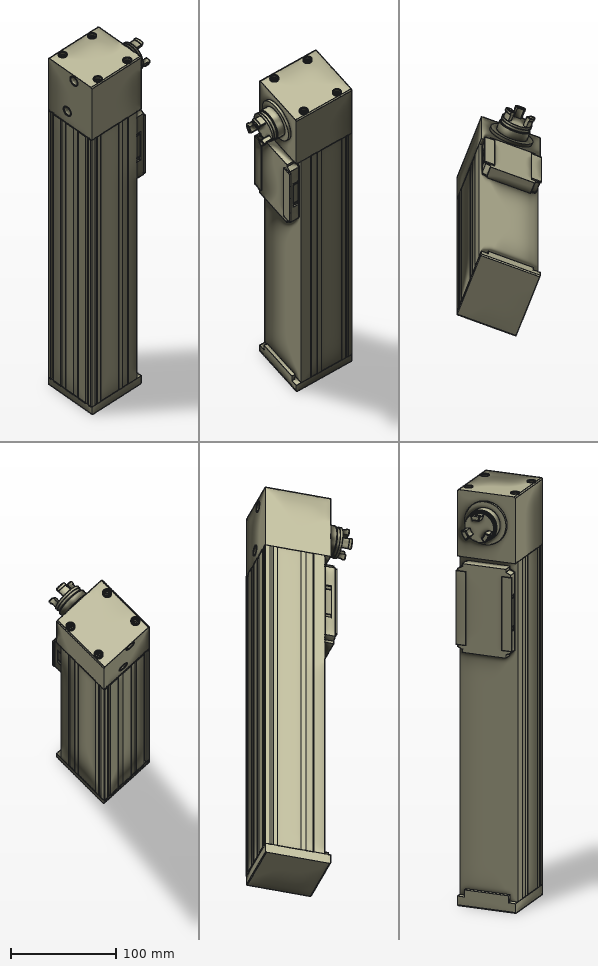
import cadquery as cq
import math

TOTAL_HEIGHT = 416.0
TOTAL_DEPTH = 92.8
PROFILE_SIDE = 60.0
PROFILE_HALF = PROFILE_SIDE / 2

BLOCK_FRONT = 1.0
HEAD_CHAMFER = 1.2
HEAD_BACK = 65.7
HEAD_BOTTOM = 349.5
CAP_TOP = 10.0
CAP_FRONT_CHAMFER = 1.0
CAP_BACK_CHAMFER = 1.2
LIP_HEIGHT = 17.0
LIP_WIDTH = 45.8
LIP_THICKNESS = 3.7
UNDERCUT_RADIUS = 1.2

GROOVE_DEPTH = 0.5
BEVEL_WIDTH = 1.2
FRONT_GROOVE = (5.5, 12.0)
CORNER_STRIP = 4.0
CORNER_GROOVE_END = 8.0
CORNER_GROOVE_DEPTH = 3.5
CORNER_CHAMFER = 1.0
SIDE_FRONT_GROOVE = (5.0, 8.5)
SIDE_BACK_GROOVE = (41.0, 49.0)
SIDE_PANEL = (12.5, 36.0)

PORT_STEPS = [(11.0, 0.5), (8.7, 6.2), (6.2, 7.0), (4.0, 8.0)]
UPPER_PORT = (5.0, 408.5)
LOWER_PORT = (-4.0, 364.5)
SCREW_STEPS = [(8.7, 1.0), (7.0, 3.5), (5.0, 5.0), (2.45, 6.5)]
SCREW_OFFSET_X = 24.0
SCREW_ROWS_Y = (14.0, 53.0)

PLUG_Z = 387.0
FLANGE_DIAMETER = 43.0
FLANGE_BACK = 68.5
BARREL_DIAMETER = 31.0
BARREL_BACK = 76.5
COLLAR_DIAMETER = 30.0
COLLAR_BACK = 77.5
NECK_DIAMETER = 28.3
NECK_BACK = 80.3
RING_BACK = 82.8
PRONG_COUNT = 3
PRONG_INNER_RADIUS = 9.5
PRONG_OUTER_RADIUS = 14.0
PRONG_HALF_ANGLE = 20.0
PRONG_LIP_RADIUS = 15.0
PRONG_LIP_LENGTH = 3.5
PRONG_TIP_CHAMFER = 1.0

BOX_WIDTH = 55.0
BOX_BACK = 71.0
BOX_BOTTOM = 256.0
BOX_TOP = 344.5
BOX_TAB_HEIGHT = 3.0
BOX_CHAMFER_WIDTH = 5.0
BOX_CHAMFER_HEIGHT = 2.5
FOOT_HEIGHT = 1.2
FOOT_INSET = 0.5
COVER_WIDTH = 57.5
COVER_BOTTOM = 263.5
COVER_TOP = 337.0
COVER_BACK = 72.5
COVER_SEAT = 70.7
COVER_GAP = 37.5
LATCH_BOTTOM = 282.0
LATCH_TOP = 318.0
LATCH_BACK = 67.5
LATCH_BAND = 3.7
LATCH_DEPTH = 1.0
LATCH_BAND_DEPTH = 1.5


def block(x_size, y_range, z_range):
    """Box centred on x = 0 between two y and two z levels."""
    y_size = y_range[1] - y_range[0]
    z_size = z_range[1] - z_range[0]
    corner_block = cq.Workplane("XY").box(x_size, y_size, z_size, centered=(True, False, False))
    return corner_block.translate((0, y_range[0], z_range[0]))


def cylinder(start, direction, diameter, length):
    solid = cq.Solid.makeCylinder(diameter / 2, length, cq.Vector(start), cq.Vector(direction))
    return cq.Workplane(solid)


def stepped_hole(body, start, direction, steps):
    """Cut coaxial bores that get narrower with depth."""
    for diameter, depth in steps:
        body = body.cut(cylinder(start, direction, diameter, depth))
    return body


def make_head():
    head = block(PROFILE_SIDE, (BLOCK_FRONT, HEAD_BACK), (HEAD_BOTTOM, TOTAL_HEIGHT))
    head = head.faces(">Z").edges("|Y").chamfer(HEAD_CHAMFER)
    for x, z in (UPPER_PORT, LOWER_PORT):
        head = stepped_hole(head, (x, BLOCK_FRONT, z), (0, 1, 0), PORT_STEPS)
    for x in (-SCREW_OFFSET_X, SCREW_OFFSET_X):
        for y in SCREW_ROWS_Y:
            head = stepped_hole(head, (x, y, TOTAL_HEIGHT), (0, 0, -1), SCREW_STEPS)
    return head


def half_profile_outline():
    """Section points from the middle of the front face round the +X side to the middle of the back."""

    def bevelled_groove(wall, end, depth):
        """(position along the face, depth) of a groove with one straight and one bevelled wall."""
        return [(wall, 0), (wall, depth), (end - BEVEL_WIDTH, depth), (end, 0)]

    groove_end = PROFILE_HALF - CORNER_GROOVE_END
    strip_edge = PROFILE_HALF - CORNER_STRIP
    front = bevelled_groove(*FRONT_GROOVE, GROOVE_DEPTH)
    front += [
        (groove_end, 0),
        (groove_end + BEVEL_WIDTH, BEVEL_WIDTH),
        (groove_end + BEVEL_WIDTH, CORNER_GROOVE_DEPTH),
        (strip_edge, CORNER_GROOVE_DEPTH),
        (strip_edge, 0),
        (PROFILE_HALF - CORNER_CHAMFER, 0),
        (PROFILE_HALF, CORNER_CHAMFER),
    ]
    panel_start, panel_end = SIDE_PANEL
    side = bevelled_groove(*SIDE_FRONT_GROOVE, GROOVE_DEPTH)
    side += [(panel_start, 0), (panel_start, GROOVE_DEPTH), (panel_end, GROOVE_DEPTH), (panel_end, 0)]
    side += bevelled_groove(*SIDE_BACK_GROOVE, GROOVE_DEPTH)
    return front + [(PROFILE_HALF - depth, y) for y, depth in side] + [(PROFILE_HALF, PROFILE_SIDE)]


def make_profile():
    right = half_profile_outline()
    left = [(-x, y) for x, y in reversed(right)]
    section = cq.Workplane("XY").workplane(offset=CAP_TOP).polyline(right + left).close()
    return section.extrude(HEAD_BOTTOM - CAP_TOP)


def make_end_cap():
    plate = block(PROFILE_SIDE, (BLOCK_FRONT, HEAD_BACK), (0, CAP_TOP))
    plate = plate.faces("<Z").edges("<Y").chamfer(CAP_FRONT_CHAMFER)
    plate = plate.faces("<Z").edges(">Y").chamfer(CAP_BACK_CHAMFER)
    lip_front = HEAD_BACK - LIP_THICKNESS
    lip = block(LIP_WIDTH, (lip_front, HEAD_BACK), (CAP_TOP, LIP_HEIGHT))
    undercut_centre = (-LIP_WIDTH / 2, lip_front, CAP_TOP + UNDERCUT_RADIUS)
    undercut = cylinder(undercut_centre, (1, 0, 0), 2 * UNDERCUT_RADIUS, LIP_WIDTH)
    return plate.union(lip.cut(undercut))


def ring_sector(inner_radius, outer_radius, half_angle, y_start, y_end):
    """Ring segment round the plug axis, centred on the +Z direction."""

    def at(radius, angle):
        turn = math.radians(angle)
        return (radius * math.sin(turn), PLUG_Z + radius * math.cos(turn))

    return (
        cq.Workplane("XZ", origin=(0, y_start, 0))
        .moveTo(*at(inner_radius, -half_angle))
        .lineTo(*at(outer_radius, -half_angle))
        .threePointArc(at(outer_radius, 0), at(outer_radius, half_angle))
        .lineTo(*at(inner_radius, half_angle))
        .threePointArc(at(inner_radius, 0), at(inner_radius, -half_angle))
        .close()
        .extrude(y_start - y_end)
    )


def make_prong():
    lip_start = TOTAL_DEPTH - PRONG_LIP_LENGTH
    shaft = ring_sector(PRONG_INNER_RADIUS, PRONG_OUTER_RADIUS, PRONG_HALF_ANGLE, RING_BACK, lip_start)
    lip = ring_sector(PRONG_INNER_RADIUS, PRONG_LIP_RADIUS, PRONG_HALF_ANGLE, lip_start, TOTAL_DEPTH)
    return shaft.union(lip.faces(">Y").chamfer(PRONG_TIP_CHAMFER))


def make_plug():
    plug_steps = [
        (FLANGE_DIAMETER, FLANGE_BACK),
        (BARREL_DIAMETER, BARREL_BACK),
        (COLLAR_DIAMETER, COLLAR_BACK),
        (NECK_DIAMETER, NECK_BACK),
        (COLLAR_DIAMETER, RING_BACK),
    ]
    outline = [(0, HEAD_BACK)]
    step_start = HEAD_BACK
    for diameter, step_end in plug_steps:
        outline += [(diameter / 2, step_start), (diameter / 2, step_end)]
        step_start = step_end
    outline.append((0, RING_BACK))
    plug = cq.Workplane("XY").polyline(outline).close().revolve(360, (0, 0, 0), (0, 1, 0))
    plug = plug.translate((0, 0, PLUG_Z))
    prong = make_prong()
    for index in range(PRONG_COUNT):
        angle = index * 360 / PRONG_COUNT
        plug = plug.union(prong.rotate((0, 0, PLUG_Z), (0, 1, PLUG_Z), angle))
    return plug


def box_prism(half_width, y_start, y_end):
    """Box outline, with a narrower tab at the top and bottom, between two y levels."""
    half_height = (BOX_TOP - BOX_BOTTOM) / 2
    tab_half_width = half_width - BOX_CHAMFER_WIDTH
    tab_start = half_height - BOX_TAB_HEIGHT
    upper = [
        (half_width, tab_start - BOX_CHAMFER_HEIGHT),
        (tab_half_width, tab_start),
        (tab_half_width, half_height),
    ]
    right = [(x, -z) for x, z in reversed(upper)] + upper
    left = [(-x, z) for x, z in reversed(right)]
    outline = cq.Workplane("XZ", origin=(0, y_start, BOX_BOTTOM + half_height)).polyline(right + left).close()
    return outline.extrude(y_start - y_end)


def make_terminal_box():
    foot_back = PROFILE_SIDE + FOOT_HEIGHT
    body = box_prism(BOX_WIDTH / 2, foot_back, BOX_BACK)
    foot = box_prism(BOX_WIDTH / 2 - FOOT_INSET, PROFILE_SIDE, foot_back)
    box = body.union(foot)

    cover_levels = (COVER_BOTTOM, COVER_TOP)
    box = box.union(block(COVER_WIDTH, (COVER_SEAT, COVER_BACK), cover_levels))
    box = box.cut(block(COVER_GAP, (BOX_BACK, COVER_BACK), cover_levels))

    recesses = [
        (LATCH_DEPTH, LATCH_BOTTOM, LATCH_TOP),
        (LATCH_BAND_DEPTH, LATCH_BOTTOM, LATCH_BOTTOM + LATCH_BAND),
        (LATCH_BAND_DEPTH, LATCH_TOP - LATCH_BAND, LATCH_TOP),
    ]
    for depth, bottom, top in recesses:
        recess = block(2 * depth, (foot_back, LATCH_BACK), (bottom, top))
        for x in (-BOX_WIDTH / 2, BOX_WIDTH / 2):
            box = box.cut(recess.translate((x, 0, 0)))
    return box


head = make_head()
profile = make_profile()
end_cap = make_end_cap()
plug = make_plug()
terminal_box = make_terminal_box()

bodies = (head, profile, end_cap, plug, terminal_box)
result = cq.Compound.makeCompound([body.solids().val() for body in bodies])